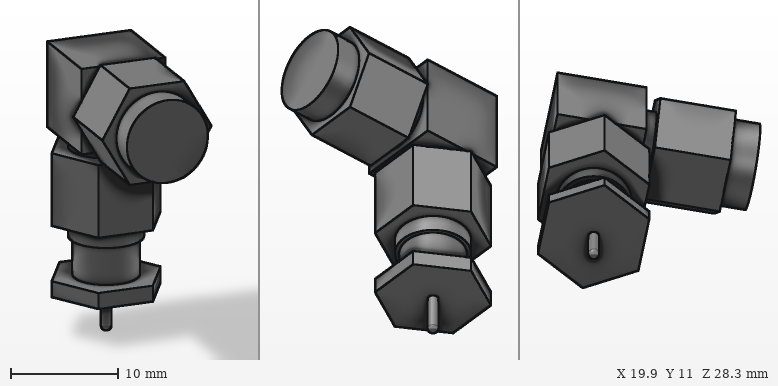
import cadquery as cq
import math

total_height = 28.3
hex_corners = 11.0
hex_flats = hex_corners * math.cos(math.pi / 6)
axis_height = total_height - hex_flats / 2
cube_side = 8.46
neck_diameter = 7.13
neck_length = 1.08
nut_length = 7.2

collar_length = 1.67
barrel_diameter = 6.35
barrel_length = 3.8
flange_thickness = 1.59
pin_diameter = 1.02

arm_reach = 19.85 - hex_flats / 2
end_diameter = 8.18

down = cq.Plane(origin=(0, 0, axis_height), xDir=(0, 1, 0), normal=(0, 0, -1))
outward = cq.Plane(origin=(0, 0, axis_height), xDir=(0, 1, 0), normal=(1, 0, 0))


def cylinder(plane, start, end, diameter):
    """Round section of an arm, between two distances from the elbow centre."""
    return cq.Workplane(plane).workplane(offset=start).circle(diameter / 2).extrude(end - start)


def hexagon(plane, start, end):
    """Hexagonal section of an arm, between two distances from the elbow centre."""
    return cq.Workplane(plane).workplane(offset=start).polygon(6, hex_corners).extrude(end - start)


neck_start = cube_side / 2
nut_start = neck_start + neck_length
nut_end = nut_start + nut_length

collar_end = nut_end + collar_length
flange_start = collar_end + barrel_length
flange_end = flange_start + flange_thickness

elbow = cq.Workplane("XY", origin=(0, 0, axis_height)).box(cube_side, cube_side, cube_side)

pin_tip_radius = pin_diameter / 2
pin_tip = cq.Workplane("XY", origin=(0, 0, pin_tip_radius)).sphere(pin_tip_radius)
pin = cylinder(down, flange_end, axis_height - pin_tip_radius, pin_diameter).union(pin_tip)

vertical_arm = (
    cylinder(down, neck_start, nut_start, neck_diameter)
    .union(hexagon(down, nut_start, nut_end))
    .union(cylinder(down, nut_end, collar_end, neck_diameter))
    .union(cylinder(down, collar_end, flange_start, barrel_diameter))
    .union(hexagon(down, flange_start, flange_end))
    .union(pin)
)

horizontal_arm = (
    cylinder(outward, neck_start, nut_start, neck_diameter)
    .union(hexagon(outward, nut_start, nut_end))
    .union(cylinder(outward, nut_end, arm_reach, end_diameter))
)

result = elbow.union(vertical_arm).union(horizontal_arm)